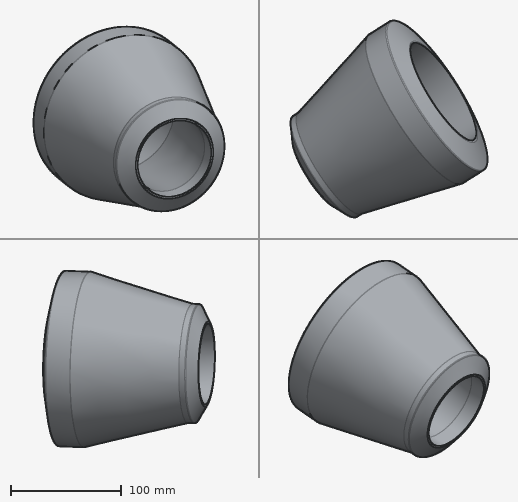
import cadquery as cq
import math

length = 140.0

large_diameter = 159.0
large_bore_diameter = 103.0
large_bevel_angle = 15.0
large_cylinder_end = 30.0
large_bore_depth = 27.0

small_diameter = 108.0
small_bore_diameter = 73.0
small_bevel_angle = 30.0
small_cylinder_start = 125.0
small_bore_start = 125.0

root_face = 2.0
bevel_edge_radius = 1.0
shoulder_radius = 1.0

large_radius = large_diameter / 2
small_radius = small_diameter / 2
large_bore_radius = large_bore_diameter / 2
small_bore_radius = small_bore_diameter / 2
large_face_radius = large_bore_radius + root_face
small_face_radius = small_bore_radius + root_face
large_bevel_length = (large_radius - large_face_radius) * math.tan(math.radians(large_bevel_angle))
small_bevel_length = (small_radius - small_face_radius) * math.tan(math.radians(small_bevel_angle))
small_bevel_start = length - small_bevel_length


def make_reducer():
    """Revolve the wall section, drawn as (X, radius), around the X axis."""
    section = (
        cq.Workplane("XY")
        .moveTo(0, large_bore_radius)
        .lineTo(0, large_face_radius)
        .lineTo(large_bevel_length, large_radius)
        .lineTo(large_cylinder_end, large_radius)
        .lineTo(small_cylinder_start, small_radius)
        .lineTo(small_bevel_start, small_radius)
        .lineTo(length, small_face_radius)
        .lineTo(length, small_bore_radius)
        .lineTo(small_bore_start, small_bore_radius)
        .lineTo(large_bore_depth, large_bore_radius)
        .close()
    )
    return section.revolve(360, (0, 0, 0), (1, 0, 0))


def round_outer_edge(body, x, radius, fillet_radius):
    """Round the circular outer edge lying at the given X and radius."""
    tolerance = 0.01

    def is_wanted(edge):
        on_plane = abs(edge.Center().x - x) < tolerance
        return on_plane and abs(edge.radius() - radius) < tolerance

    return body.edges("%CIRCLE").filter(is_wanted).fillet(fillet_radius)


result = make_reducer()
result = round_outer_edge(result, large_bevel_length, large_radius, bevel_edge_radius)
result = round_outer_edge(result, large_cylinder_end, large_radius, shoulder_radius)
result = round_outer_edge(result, small_bevel_start, small_radius, bevel_edge_radius)